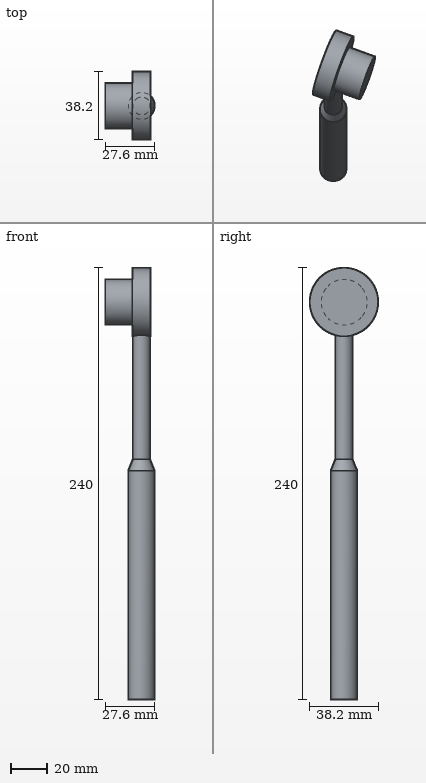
import cadquery as cq

total_height = 240.0
handle_diameter = 15.0
handle_length = 127.2
taper_length = 6.2
neck_diameter = 9.8

head_diameter = 38.2
head_thickness = 10.0
boss_diameter = 25.5
boss_length = 15.1

head_center_z = total_height - head_diameter / 2
neck_base_z = handle_length + taper_length


def make_shaft():
    """Handle, taper and neck revolved about Z, with the neck ending inside the head."""
    return (
        cq.Workplane("YZ")
        .moveTo(0, 0)
        .lineTo(handle_diameter / 2, 0)
        .lineTo(handle_diameter / 2, handle_length)
        .lineTo(neck_diameter / 2, neck_base_z)
        .lineTo(neck_diameter / 2, head_center_z)
        .lineTo(0, head_center_z)
        .close()
        .revolve(360, (0, 0, 0), (0, 1, 0))
    )


def make_head():
    """Disc centred on the shaft, with a smaller round boss on its -X face."""
    disc_face_x = -head_thickness / 2
    head_plane = cq.Workplane("YZ", origin=(disc_face_x, 0, head_center_z))
    disc = head_plane.circle(head_diameter / 2).extrude(head_thickness)
    boss = head_plane.circle(boss_diameter / 2).extrude(-boss_length)
    return disc.union(boss)


result = make_shaft().union(make_head())